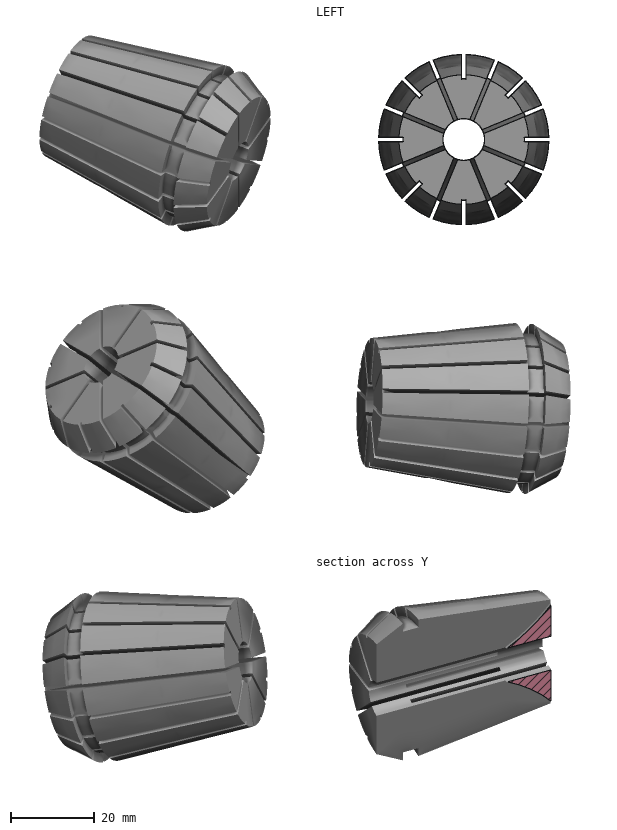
import cadquery as cq
import math

length = 46.0
max_radius = 41.0 / 2
bore_radius = 10.0 / 2

taper_angle = 8.0
head_angle = 30.0
groove_start = 34.9
groove_width = 4.15
groove_radius = 18.12

slot_width = 1.0
slots_per_end = 8
slot_pitch = 360.0 / slots_per_end
cutter_radius = 40.0
nose_slot_floor = 15.82
nose_slot_tilt = 42.0
head_slot_floor = 14.65
head_slot_breakthrough = 11.9

groove_end = groove_start + groove_width
nose_radius = max_radius - groove_start * math.tan(math.radians(taper_angle))
head_radius = max_radius - (length - groove_end) * math.tan(math.radians(head_angle))
nose_slot_breakthrough = length - (nose_slot_floor - bore_radius) * math.tan(math.radians(nose_slot_tilt))


def collet_body():
    """Revolve the half profile, bore included, about the X axis."""
    profile = [
        (0, bore_radius),
        (0, nose_radius),
        (groove_start, max_radius),
        (groove_start, groove_radius),
        (groove_end, groove_radius),
        (groove_end, max_radius),
        (length, head_radius),
        (length, bore_radius),
    ]
    return cq.Workplane("XY").polyline(profile).close().revolve(360, (0, 0, 0), (1, 0, 0))


def arc_middle(start, end):
    """Middle of the cutter arc joining two floor points, sagging towards the axis."""
    dx = end[0] - start[0]
    dr = end[1] - start[1]
    chord = math.hypot(dx, dr)
    sag = cutter_radius - math.sqrt(cutter_radius**2 - (chord / 2) ** 2)
    side = math.copysign(1, dx)
    return (
        (start[0] + end[0]) / 2 + side * sag * dr / chord,
        (start[1] + end[1]) / 2 - side * sag * dx / chord,
    )


def slot_cutter(open_end, floor_at_bore, floor_at_far_face):
    """One radial slot blade: full depth at open_end, running out on a round floor."""
    middle = arc_middle(floor_at_bore, floor_at_far_face)
    return (
        cq.Workplane("XY")
        .moveTo(open_end, 0)
        .lineTo(floor_at_bore[0], 0)
        .lineTo(*floor_at_bore)
        .threePointArc(middle, floor_at_far_face)
        .lineTo(floor_at_far_face[0], max_radius)
        .lineTo(open_end, max_radius)
        .close()
        .extrude(slot_width / 2, both=True)
    )


nose_slot = slot_cutter(0, (nose_slot_breakthrough, bore_radius), (length, nose_slot_floor))
head_slot = slot_cutter(length, (head_slot_breakthrough, bore_radius), (0, head_slot_floor))

result = collet_body()
for i in range(slots_per_end):
    angle = i * slot_pitch
    result = result.cut(head_slot.rotate((0, 0, 0), (1, 0, 0), angle))
    result = result.cut(nose_slot.rotate((0, 0, 0), (1, 0, 0), angle + slot_pitch / 2))